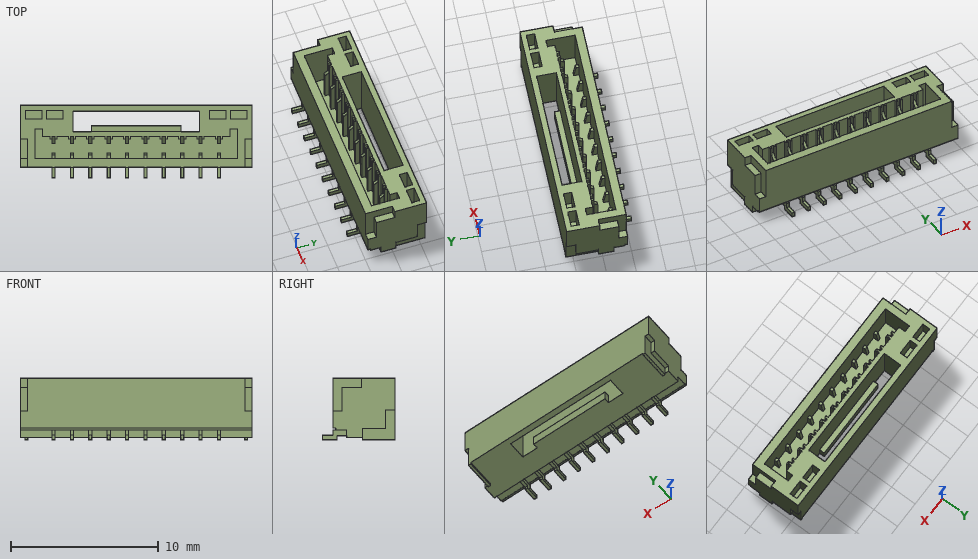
import cadquery as cq


length = 15.75
half_length = length / 2
rear_y = 4.95
top_z = 4.2

front_y = 0.71
housing_bottom_z = 0.15
toe_y = 0.9
toe_z = 0.8
tail_roof_z = 0.68
heel_y = 1.65

notch_depth = 0.49
notch_rear_y = 2.65
notch_step_y = 1.32
notch_shelf_z = 3.56
notch_floor_z = 1.95

cavity_half = 6.87
cavity_front_y = 1.32
cavity_rear_y = 2.82
cavity_floor_z = 1.0
key_width = 0.49
key_rear_y = 3.34

window_half = 4.28
window_front_y = 3.15
window_rear_y = 4.52
ledge_half = 3.05
ledge_rear_y = 3.55

pocket_centers = (5.53, 6.96)
pocket_width = 1.12
pocket_front_y = 4.0
pocket_rear_y = 4.57
pocket_depth = 1.58

nail_inset = 0.3
nail_thickness = 0.2
nail_top_z = 2.05
nail_foot_z = 0.77
nail_front_y = 2.72
nail_upright = 0.66

contact_count = 10
contact_span = 11.25
contact_width = 0.22
pitch = contact_span / (contact_count - 1)
rib_width = 0.49
rib_front_y = 2.63
tail_thickness = 0.33
tail_rear_y = 1.01
arm_bottom_z = 0.28
beam_front_y = 2.35
beam_top_z = 3.6
lead_in_drop = 0.43
prong_tip_y = 1.55
prong_root_y = 1.7
prong_top_z = 2.05


def box(x0, x1, y0, y1, z0, z1):
    return cq.Workplane("XY").box(x1 - x0, y1 - y0, z1 - z0, centered=False).translate((x0, y0, z0))


def prism(points, x0, x1):
    """Extrude a (Y, Z) outline from x0 to x1."""
    return cq.Workplane("YZ").polyline(points).close().extrude(x1 - x0).translate((x0, 0, 0))


def mirrored_pair(solid):
    return solid.union(solid.mirror("YZ"))


def centered_box(half_width, y0, y1, z0, z1):
    return box(-half_width, half_width, y0, y1, z0, z1)


housing_profile = [
    (front_y, top_z),
    (front_y, toe_z),
    (toe_y, toe_z),
    (toe_y, tail_roof_z),
    (heel_y, tail_roof_z),
    (heel_y, housing_bottom_z),
    (rear_y, housing_bottom_z),
    (rear_y, top_z),
]
housing = prism(housing_profile, -half_length, half_length)

notch_profile = [
    (front_y, top_z),
    (front_y, notch_floor_z),
    (notch_step_y, notch_floor_z),
    (notch_step_y, notch_shelf_z),
    (notch_rear_y, notch_shelf_z),
    (notch_rear_y, top_z),
]
housing = housing.cut(mirrored_pair(prism(notch_profile, -half_length, notch_depth - half_length)))

cavity = centered_box(cavity_half, cavity_front_y, cavity_rear_y, cavity_floor_z, top_z)
keyway = box(-cavity_half, key_width - cavity_half, cavity_rear_y, key_rear_y, cavity_floor_z, top_z)
housing = housing.cut(cavity).cut(mirrored_pair(keyway))

window = centered_box(window_half, window_front_y, window_rear_y, housing_bottom_z, top_z)
ledge = centered_box(ledge_half, window_front_y, ledge_rear_y, housing_bottom_z, cavity_floor_z)
housing = housing.cut(window).union(ledge)

for center in pocket_centers:
    pocket = box(
        center - pocket_width / 2, center + pocket_width / 2,
        pocket_front_y, pocket_rear_y,
        top_z - pocket_depth, top_z,
    )
    housing = housing.cut(mirrored_pair(pocket))

nail_upright_front_y = rear_y - nail_upright
nail_profile = [
    (rear_y, 0),
    (rear_y, nail_top_z),
    (nail_upright_front_y, nail_top_z),
    (nail_upright_front_y, nail_foot_z),
    (nail_front_y, nail_foot_z),
    (nail_front_y, 0),
]
nail_outer_x = nail_inset - half_length
nail_inner_x = nail_outer_x + nail_thickness
nail_recess = prism(nail_profile, -half_length, nail_inner_x)
nail = prism(nail_profile, nail_outer_x, nail_inner_x)
housing = housing.cut(mirrored_pair(nail_recess)).union(mirrored_pair(nail))

contact_profile = [
    (0, 0),
    (0, tail_thickness),
    (front_y, tail_thickness),
    (front_y, tail_roof_z),
    (cavity_front_y, tail_roof_z),
    (cavity_front_y, prong_top_z),
    (prong_tip_y, prong_top_z),
    (prong_root_y, cavity_floor_z),
    (beam_front_y, cavity_floor_z),
    (beam_front_y, beam_top_z - lead_in_drop),
    (cavity_rear_y, beam_top_z),
    (cavity_rear_y, arm_bottom_z),
    (tail_rear_y, arm_bottom_z),
    (tail_rear_y, 0),
]

result = housing
for index in range(contact_count):
    center = index * pitch - contact_span / 2
    left = center - contact_width / 2
    right = center + contact_width / 2
    rib = box(
        center - rib_width / 2, center + rib_width / 2,
        rib_front_y, cavity_rear_y,
        cavity_floor_z, top_z,
    )
    slot = box(left, right, rib_front_y, cavity_rear_y, cavity_floor_z, top_z)
    contact = prism(contact_profile, left, right)
    result = result.union(rib.cut(slot)).union(contact)